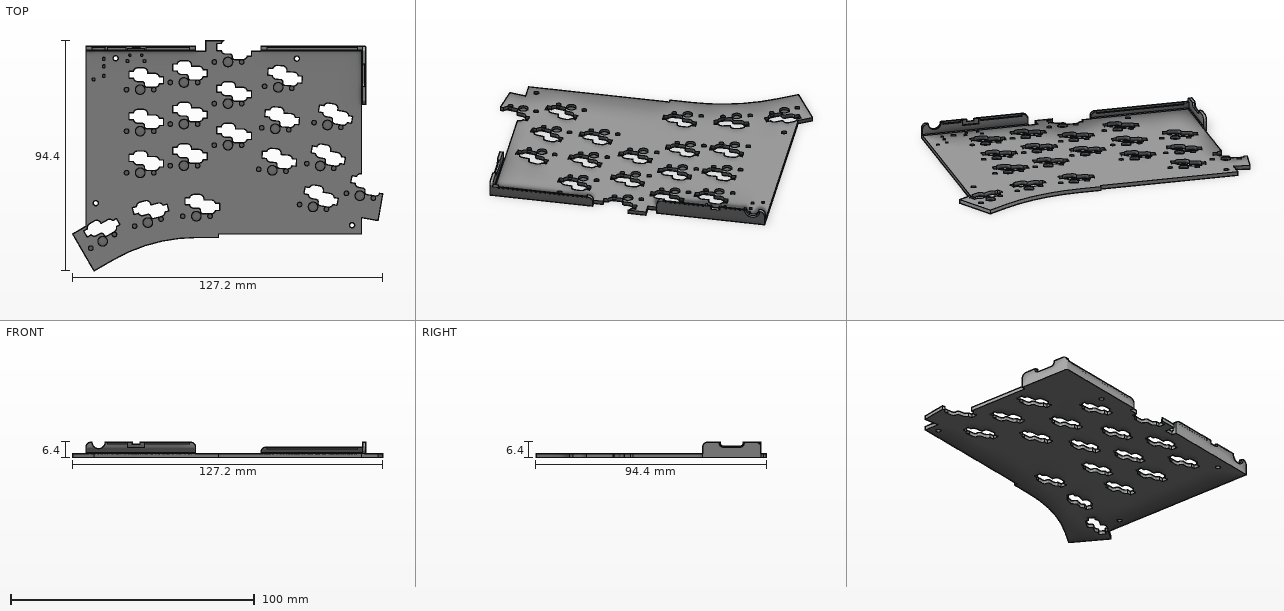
import cadquery as cq
import math

PLATE_WIDTH = 113.1
PLATE_DEPTH = 75.0
PLATE_THICKNESS = 1.7
OVERALL_HEIGHT = 6.4

TILE_HALF_WIDTH = 9.2
TILE_HALF_DEPTH = 8.8

KEY_PITCH = 17.0
TALLEST_COLUMN = (58.3, 36.5, 3, 0)
RIGHT_KEY = (112.3, 15.8, 1, 10)
KEY_COLUMNS = [
    (22.3, 25.2, 3, 0),
    (40.2, 28.1, 3, 0),
    TALLEST_COLUMN,
    (76.5, 26.2, 3, 4),
    (93.1, 11.2, 3, 10),
    RIGHT_KEY,
]

THUMB_X = 45.3
THUMB_Y = 7.4
THUMB_EDGE_RADIUS = 68.0
THUMB_ANGLES = (0, 15, 30)

BLIND_DEPTH = 1.1
CENTRE_HOLE_DIAMETER = 4.0
SIDE_HOLE_DIAMETER = 1.9
SIDE_HOLE_OFFSET = 5.6

LEFT_LOBE_CENTRE = (0.1, 6.1)
RIGHT_LOBE_CENTRE = (5.0, 3.8)
LOBE_HALF_WIDTH = 2.9
LOBE_HALF_DEPTH = 2.8
LOBE_RADIUS = 1.8
FRONT_STEP_X = 1.8
STEP_RADIUS = 1.0
PAD_HALF_DEPTH = 1.4
PAD_LEFT_END = -4.6
PAD_RIGHT_END = 9.5

SCREW_HOLE_DIAMETER = 2.0
SCREW_HOLES = [(12.2, 72.1), (86.5, 72.0), (4.1, 12.7), (109.1, 3.7)]
PEG_HOLE_DIAMETER = 1.3
PEG_HOLES = [(17.0, 71.0), (24.0, 71.0), (3.2, 63.5)]
PIN_HOLE_DIAMETER = 1.0
PIN_HOLES = [(18.1, 73.4), (22.9, 73.4)]
PIN_SLOT_LENGTH = 1.4
PIN_SLOTS = [(7.4, 71.9), (7.4, 68.8), (7.4, 64.9)]

WALL_OVERHANG = 2.0
FOOT_CHAMFER = 0.4
WALL_END_RADIUS = 2.2
LEFT_WALL_LENGTH = 45.0
RIGHT_WALL_START = 71.7
RIGHT_WALL_HEIGHT = 4.3
SIDE_WALL_OVERHANG = 1.7
SIDE_WALL_START = 53.2
CORNER_RADIUS = 0.5

LIP_THICKNESS = 0.5
RABBET_DEPTH = 0.8
RABBET_END_GAP = 0.4

JACK_X = 5.2
JACK_DIAMETER = 5.3
SWITCH_X = 20.6
SWITCH_POCKET_WIDTH = 7.0
SWITCH_POCKET_DEPTH = 2.2
SWITCH_LIP_THICKNESS = 0.9
SWITCH_SLOT_WIDTH = 3.0
SWITCH_SLOT_DEPTH = 0.9
SWITCH_RABBET_GAP = 0.6
PLUG_Y = 65.1
PLUG_WIDTH = 9.3
PLUG_DEPTH = 1.7
PLUG_RADIUS = 1.3
OPENING_CHAMFER = 0.5


def box(x_range, y_range, z_range):
    """Axis-aligned box between the given limits."""
    size = [high - low for low, high in (x_range, y_range, z_range)]
    corner = (x_range[0], y_range[0], z_range[0])
    return cq.Workplane("XY").box(*size, centered=False).translate(corner)


def place(shape, x, y, angle):
    """Turn a shape made around the origin and move it to a key centre."""
    return shape.rotate((0, 0, 0), (0, 0, 1), angle).translate((x, y, 0))


def key_places():
    """Position and angle of every key."""
    keys = []
    for x, y, count, lean in KEY_COLUMNS:
        slope = math.radians(lean)
        for row in range(count):
            reach = row * KEY_PITCH
            keys.append((x + reach * math.sin(slope), y + reach * math.cos(slope), -lean))
    for angle in THUMB_ANGLES:
        keys.append((*thumb_point(angle, 0, 0), angle))
    return keys


def thumb_point(angle, across, outward):
    """Point given relative to the centre of the thumb key at this fan angle."""
    turn = math.radians(angle)
    pivot_y = THUMB_Y - TILE_HALF_DEPTH - THUMB_EDGE_RADIUS
    radius = THUMB_EDGE_RADIUS + TILE_HALF_DEPTH + outward
    x = THUMB_X + across * math.cos(turn) - radius * math.sin(turn)
    y = pivot_y + across * math.sin(turn) + radius * math.cos(turn)
    return x, y


def make_plate():
    """Main rectangle with the thumb fan and two projecting key tiles."""
    plate = box((0, PLATE_WIDTH), (0, PLATE_DEPTH), (0, PLATE_THICKNESS))

    first, middle, last = THUMB_ANGLES
    w, d = TILE_HALF_WIDTH, TILE_HALF_DEPTH
    fan = (
        cq.Workplane("XY")
        .moveTo(*thumb_point(last, w, d))
        .lineTo(*thumb_point(last, -w, d))
        .lineTo(*thumb_point(last, -w, -d))
        .lineTo(*thumb_point(last, 0, -d))
        .threePointArc(thumb_point(middle, 0, -d), thumb_point(first, 0, -d))
        .lineTo(*thumb_point(first, w, -d))
        .lineTo(*thumb_point(first, w, d))
        .close()
        .extrude(PLATE_THICKNESS)
    )

    top_x, front_y, key_count, _ = TALLEST_COLUMN
    top_y = front_y + (key_count - 1) * KEY_PITCH
    top_tab = box((top_x - w, top_x), (top_y, top_y + d), (0, PLATE_THICKNESS))
    right_x, right_y, _, right_lean = RIGHT_KEY
    right_tab = box((-w, w), (-d, RIGHT_LOBE_CENTRE[1]), (0, PLATE_THICKNESS))
    right_tab = place(right_tab, right_x, right_y, -right_lean)
    return plate.union(fan).union(top_tab).union(right_tab)


def make_socket_cutout():
    """Through opening for a switch socket: stepped body plus an end pad on each side."""
    left_x, left_y = LEFT_LOBE_CENTRE
    right_x, right_y = RIGHT_LOBE_CENTRE
    left_back, left_front = left_y + LOBE_HALF_DEPTH, left_y - LOBE_HALF_DEPTH
    right_back, right_front = right_y + LOBE_HALF_DEPTH, right_y - LOBE_HALF_DEPTH
    body_left, body_right = left_x - LOBE_HALF_WIDTH, right_x + LOBE_HALF_WIDTH
    back_step = left_x + LOBE_HALF_WIDTH

    corners = [
        (body_left, left_front, LOBE_RADIUS),
        (body_left, left_back, LOBE_RADIUS),
        (back_step, left_back, LOBE_RADIUS),
        (back_step, right_back, 0),
        (body_right, right_back, LOBE_RADIUS),
        (body_right, right_front, LOBE_RADIUS),
        (FRONT_STEP_X, right_front, STEP_RADIUS),
        (FRONT_STEP_X, left_front, STEP_RADIUS),
    ]
    outline = [(x, y) for x, y, _ in corners]
    cutout = cq.Workplane("XY").polyline(outline).close().extrude(PLATE_THICKNESS)
    for x, y, radius in corners:
        if radius:
            corner_edge = cq.selectors.NearestToPointSelector((x, y, PLATE_THICKNESS / 2))
            cutout = cutout.edges("|Z").edges(corner_edge).fillet(radius)

    through = (0, PLATE_THICKNESS)
    left_pad = box((PAD_LEFT_END, left_x), (left_y - PAD_HALF_DEPTH, left_y + PAD_HALF_DEPTH), through)
    right_pad = box((right_x, PAD_RIGHT_END), (right_y - PAD_HALF_DEPTH, right_y + PAD_HALF_DEPTH), through)
    return cutout.union(left_pad).union(right_pad)


def make_holes(points, diameter, depth):
    """Round holes sunk from the top of the plate."""
    return (
        cq.Workplane("XY", origin=(0, 0, PLATE_THICKNESS))
        .pushPoints(points)
        .circle(diameter / 2)
        .extrude(-depth)
    )


def make_pin_slots():
    """Short blind slots, long along Y."""
    return (
        cq.Workplane("XY", origin=(0, 0, PLATE_THICKNESS))
        .pushPoints(PIN_SLOTS)
        .slot2D(PIN_SLOT_LENGTH, PIN_HOLE_DIAMETER, 90)
        .extrude(-BLIND_DEPTH)
    )


def make_key_cutters():
    """Everything removed at one key, centred on the origin."""
    centre = make_holes([(0, 0)], CENTRE_HOLE_DIAMETER, BLIND_DEPTH)
    side_points = [(-SIDE_HOLE_OFFSET, 0), (SIDE_HOLE_OFFSET, 0)]
    sides = make_holes(side_points, SIDE_HOLE_DIAMETER, BLIND_DEPTH)
    return make_socket_cutout().union(centre).union(sides)


def flare(opening):
    """Add a 45 degree flare at the z = 0 mouth of an opening cut along +Z."""
    mouth = opening.faces("<Z").wires().toPending().offset2D(OPENING_CHAMFER)
    return opening.union(mouth.extrude(OPENING_CHAMFER, taper=45))


def make_foot(length):
    """Chamfer strip along +X between a wall's inner face (y = 0) and the plate top."""
    return (
        cq.Workplane("YZ", origin=(0, 0, PLATE_THICKNESS))
        .polyline([(0, 0), (-FOOT_CHAMFER, 0), (0, FOOT_CHAMFER)])
        .close()
        .extrude(length)
    )


def make_rabbet(start, end, height):
    """Strip removed from the inside top edge of a back wall."""
    return box(
        (start, end),
        (PLATE_DEPTH, PLATE_DEPTH + WALL_OVERHANG - LIP_THICKNESS),
        (height - RABBET_DEPTH, height),
    )


def make_back_wall(start, end, height, rounded_ends):
    """Wall behind the plate with rounded upper ends and a chamfered foot."""
    inner = PLATE_DEPTH + FOOT_CHAMFER
    outer = PLATE_DEPTH + WALL_OVERHANG
    wall = box((start, end), (inner, outer), (0, height))
    wall = wall.edges(rounded_ends).fillet(WALL_END_RADIUS)
    base = box((start, end), (PLATE_DEPTH, outer), (0, PLATE_THICKNESS))
    foot = make_foot(end - start).translate((start, inner, 0))
    return wall.union(base).union(foot)


def make_left_wall():
    """Tall back wall with the jack notch and the slide switch pocket."""
    end = LEFT_WALL_LENGTH
    inner = PLATE_DEPTH
    outer = PLATE_DEPTH + WALL_OVERHANG
    top = OVERALL_HEIGHT
    wall = make_back_wall(0, end, top, "|Y and >Z")

    half_pocket = SWITCH_POCKET_WIDTH / 2
    rabbet_start = JACK_X + JACK_DIAMETER / 2 + OPENING_CHAMFER + RABBET_END_GAP
    rabbet_end = end - WALL_END_RADIUS - RABBET_END_GAP
    wall = wall.cut(make_rabbet(rabbet_start, SWITCH_X - half_pocket - SWITCH_RABBET_GAP, top))
    wall = wall.cut(make_rabbet(SWITCH_X + half_pocket + SWITCH_RABBET_GAP, rabbet_end, top))

    pocket = box(
        (SWITCH_X - half_pocket, SWITCH_X + half_pocket),
        (inner, outer - SWITCH_LIP_THICKNESS),
        (top - SWITCH_POCKET_DEPTH, top),
    )
    wall = wall.cut(pocket)

    jack = cq.Workplane("XY").circle(JACK_DIAMETER / 2).extrude(WALL_OVERHANG)
    slot_size = (SWITCH_SLOT_WIDTH, 2 * SWITCH_SLOT_DEPTH)
    slot = cq.Workplane("XY").rect(*slot_size).extrude(WALL_OVERHANG)
    for opening, x in ((jack, JACK_X), (slot, SWITCH_X)):
        opening = flare(opening).rotate((0, 0, 0), (1, 0, 0), 90)
        wall = wall.cut(opening.translate((x, outer, top)))
    return wall


def make_right_wall():
    """Low back wall that runs into the side wall."""
    start, end, top = RIGHT_WALL_START, PLATE_WIDTH + FOOT_CHAMFER, RIGHT_WALL_HEIGHT
    wall = make_back_wall(start, end, top, "|Y and >Z and <X")
    rabbet_start = start + WALL_END_RADIUS + RABBET_END_GAP
    rabbet_end = PLATE_WIDTH - WALL_OVERHANG + RABBET_END_GAP
    return wall.cut(make_rabbet(rabbet_start, rabbet_end, top))


def make_side_wall():
    """Tall wall on the right with a plug notch flared on its outer side."""
    inner = PLATE_WIDTH + FOOT_CHAMFER
    outer = PLATE_WIDTH + SIDE_WALL_OVERHANG
    back = PLATE_DEPTH + WALL_OVERHANG
    block = box((inner, outer), (SIDE_WALL_START, back), (0, OVERALL_HEIGHT))
    rounded_corner = block.edges("|Z and >X and >Y").fillet(CORNER_RADIUS)
    wall = block.edges("|X and >Z").fillet(WALL_END_RADIUS).intersect(rounded_corner)
    base = box((PLATE_WIDTH, outer), (SIDE_WALL_START, PLATE_DEPTH), (0, PLATE_THICKNESS))
    foot = make_foot(PLATE_DEPTH + FOOT_CHAMFER - SIDE_WALL_START)
    foot = foot.rotate((0, 0, 0), (0, 0, 1), -90).translate((inner, PLATE_DEPTH + FOOT_CHAMFER, 0))

    notch = cq.Workplane("XY").rect(2 * PLUG_DEPTH, PLUG_WIDTH).extrude(SIDE_WALL_OVERHANG)
    notch = flare(notch.edges("|Z").fillet(PLUG_RADIUS)).rotate((0, 0, 0), (0, 1, 0), -90)
    wall = wall.cut(notch.translate((outer, PLUG_Y, OVERALL_HEIGHT)))
    return wall.union(base).union(foot)


body = make_plate().union(make_left_wall()).union(make_right_wall()).union(make_side_wall())

key_cutters = make_key_cutters()
for key_x, key_y, key_angle in key_places():
    body = body.cut(place(key_cutters, key_x, key_y, key_angle))

body = body.cut(make_holes(SCREW_HOLES, SCREW_HOLE_DIAMETER, PLATE_THICKNESS))
body = body.cut(make_holes(PEG_HOLES, PEG_HOLE_DIAMETER, BLIND_DEPTH))
body = body.cut(make_holes(PIN_HOLES, PIN_HOLE_DIAMETER, BLIND_DEPTH))
result = body.cut(make_pin_slots())